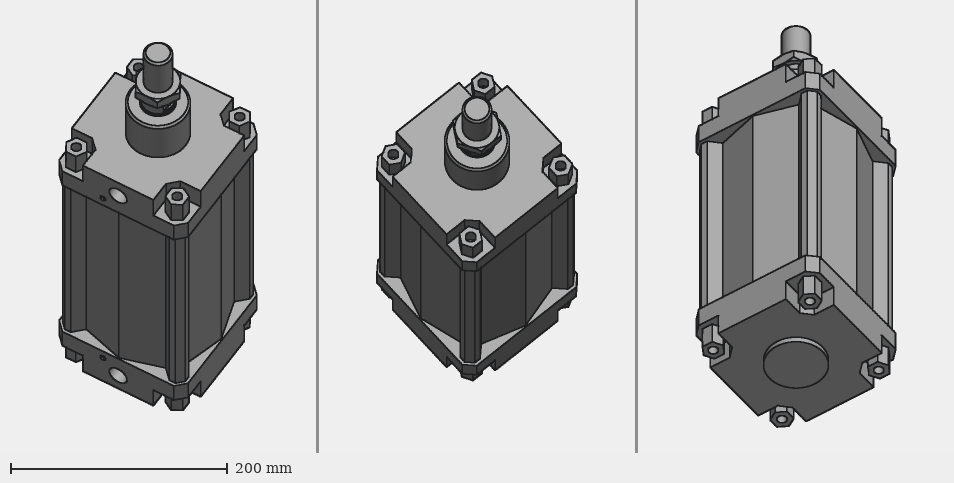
import cadquery as cq
import math

TOTAL_HEIGHT = 435.0

CAP_WIDTH = 140.0
CAP_HEIGHT = 45.0
CAP_CORNER_CHAMFER = 9.5
BOSS_RADIUS = 30.0
REAR_BOSS_HEIGHT = 6.0
FRONT_BOSS_HEIGHT = 45.2
BOSS_CHAMFER = 2.0
REAR_FACE_Z = REAR_BOSS_HEIGHT
FRONT_FACE_Z = 316.0
BOSS_TOP_Z = FRONT_FACE_Z + FRONT_BOSS_HEIGHT

RECESS_WIDTH = 31.8
RECESS_CHAMFER = 9.5
RECESS_DEPTH = 23.5
BOLT_OFFSET = 55.0
BOLT_ACROSS_FLATS = 19.0
BOLT_HOLE_RADIUS = 5.0
BOLT_HOLE_DEPTH = 17.5
DRILL_TIP_ANGLE = 118.0

PORT_RADIUS = 9.5
PORT_DEPTH = 26.0
PORT_INSET = 19.5
SCREW_HOLE_RADIUS = 3.0
SCREW_HOLE_DEPTH = 2.0
SCREW_HOLE_X = -16.5
SCREW_HOLE_INSET = 35.0

POST_HALF_WIDTH = 66.5
POST_CORNER_CHAMFER = 6.5
POST_INNER_EDGE = 53.5
WALL_EDGE = 43.0
WALL_RIDGE = 68.7

COLLAR_RADIUS = 17.0
COLLAR_HEIGHT = 2.5
COLLAR_TOP_Z = BOSS_TOP_Z + COLLAR_HEIGHT

ROD_RADIUS = 16.0
THREAD_RADIUS = 13.5
THREAD_CHAMFER = 2.0
ROD_FLAT_BOTTOM_Z = 366.5
ROD_ACROSS_FLATS = 27.0
ROD_TURN = 8.0

NUT_BOTTOM_Z = 380.0
NUT_THICKNESS = 11.7
NUT_ACROSS_FLATS = 41.0
NUT_CHAMFER_ANGLE = 30.0


def hexagon_diameter(across_flats):
    """Corner-to-corner diameter of a regular hexagon."""
    return across_flats / math.cos(math.pi / 6)


def barrel():
    """Prism between the caps, its outline one side repeated four times."""
    wall_depth = POST_HALF_WIDTH - (POST_INNER_EDGE - WALL_EDGE)
    post_edge = POST_HALF_WIDTH - POST_CORNER_CHAMFER
    side = [
        (-post_edge, -POST_HALF_WIDTH),
        (-POST_INNER_EDGE, -POST_HALF_WIDTH),
        (-WALL_EDGE, -wall_depth),
        (0, -WALL_RIDGE),
        (WALL_EDGE, -wall_depth),
        (POST_INNER_EDGE, -POST_HALF_WIDTH),
        (post_edge, -POST_HALF_WIDTH),
    ]
    outline = list(side)
    for _ in range(3):
        side = [(-y, x) for x, y in side]
        outline += side
    bottom = REAR_FACE_Z + CAP_HEIGHT
    length = FRONT_FACE_Z - REAR_FACE_Z - 2 * CAP_HEIGHT
    return cq.Workplane("XY", origin=(0, 0, bottom)).polyline(outline).close().extrude(length)


def bolt():
    """Hexagonal bolt on the recess floor of the (-X, -Y) corner, drilled from its outer end at z = 0."""
    head = (
        cq.Workplane("XY", origin=(-BOLT_OFFSET, -BOLT_OFFSET, -RECESS_DEPTH))
        .polygon(6, hexagon_diameter(BOLT_ACROSS_FLATS))
        .extrude(RECESS_DEPTH)
    )
    tip_depth = BOLT_HOLE_RADIUS / math.tan(math.radians(DRILL_TIP_ANGLE / 2))
    hole = (
        cq.Workplane("XZ")
        .polyline([
            (0, 0),
            (BOLT_HOLE_RADIUS, 0),
            (BOLT_HOLE_RADIUS, -BOLT_HOLE_DEPTH),
            (0, -BOLT_HOLE_DEPTH - tip_depth),
        ])
        .close()
        .revolve(360, (0, 0), (0, 1))
        .translate((-BOLT_OFFSET, -BOLT_OFFSET, 0))
    )
    return head.cut(hole)


def corner_recess():
    """Square pocket with a chamfered inner corner, cut into the (-X, -Y) corner below z = 0."""
    center = RECESS_WIDTH / 2 - CAP_WIDTH / 2
    return (
        cq.Workplane("XY", origin=(center, center, -RECESS_DEPTH))
        .rect(RECESS_WIDTH, RECESS_WIDTH)
        .extrude(RECESS_DEPTH)
        .edges("|Z and >X and >Y")
        .chamfer(RECESS_CHAMFER)
    )


def side_hole(x, inset, radius, depth):
    """Round blind hole in the -Y side of a cap whose outer face is at z = 0."""
    return cq.Workplane("XZ", origin=(x, -CAP_WIDTH / 2, -inset)).circle(radius).extrude(-depth)


def end_cap():
    """Cap with its outer face up at z = 0, with ports, corner recesses and bolts."""
    cap = (
        cq.Workplane("XY", origin=(0, 0, -CAP_HEIGHT))
        .rect(CAP_WIDTH, CAP_WIDTH)
        .extrude(CAP_HEIGHT)
        .edges("|Z")
        .chamfer(CAP_CORNER_CHAMFER)
    )
    cap = cap.cut(side_hole(0, PORT_INSET, PORT_RADIUS, PORT_DEPTH))
    cap = cap.cut(side_hole(SCREW_HOLE_X, SCREW_HOLE_INSET, SCREW_HOLE_RADIUS, SCREW_HOLE_DEPTH))
    for quarter in range(4):
        angle = 90 * quarter
        cap = cap.cut(corner_recess().rotate((0, 0, 0), (0, 0, 1), angle))
        cap = cap.union(bolt().rotate((0, 0, 0), (0, 0, 1), angle))
    return cap


def make_housing():
    """Barrel, both end caps, their bosses and the wiper collar."""
    front_cap = end_cap().translate((0, 0, FRONT_FACE_Z))
    rear_cap = end_cap().mirror("XY").translate((0, 0, REAR_FACE_Z))
    front_boss = (
        cq.Workplane("XY", origin=(0, 0, FRONT_FACE_Z))
        .circle(BOSS_RADIUS)
        .extrude(FRONT_BOSS_HEIGHT)
        .faces(">Z")
        .chamfer(BOSS_CHAMFER)
    )
    rear_boss = cq.Workplane("XY").circle(BOSS_RADIUS).extrude(REAR_BOSS_HEIGHT)
    collar = (
        cq.Workplane("XY", origin=(0, 0, BOSS_TOP_Z))
        .circle(COLLAR_RADIUS)
        .extrude(COLLAR_HEIGHT)
        .faces(">Z")
        .chamfer(COLLAR_RADIUS - ROD_RADIUS)
    )
    return barrel().union(front_cap).union(rear_cap).union(front_boss).union(collar).union(rear_boss)


def make_rod():
    """Rod standing on the wiper collar: a shank with two wrench flats below a thread."""
    shank_length = NUT_BOTTOM_Z - COLLAR_TOP_Z
    shank = cq.Workplane("XY", origin=(0, 0, COLLAR_TOP_Z)).circle(ROD_RADIUS).extrude(shank_length)
    cutter_width = 3 * ROD_RADIUS
    flats = (
        cq.Workplane("XY", origin=(0, 0, ROD_FLAT_BOTTOM_Z))
        .rect(cutter_width, cutter_width)
        .rect(ROD_ACROSS_FLATS, cutter_width)
        .extrude(NUT_BOTTOM_Z - ROD_FLAT_BOTTOM_Z)
        .rotate((0, 0, 0), (0, 0, 1), -ROD_TURN)
    )
    thread = (
        cq.Workplane("XY", origin=(0, 0, NUT_BOTTOM_Z))
        .circle(THREAD_RADIUS)
        .extrude(TOTAL_HEIGHT - NUT_BOTTOM_Z)
        .faces(">Z")
        .chamfer(THREAD_CHAMFER)
    )
    return shank.cut(flats).union(thread)


def make_nut():
    """Hexagonal nut with corners along X, both faces chamfered by cones, bored for the thread."""
    corner_radius = hexagon_diameter(NUT_ACROSS_FLATS) / 2
    face_radius = NUT_ACROSS_FLATS / 2
    chamfer_height = (corner_radius - face_radius) * math.tan(math.radians(NUT_CHAMFER_ANGLE))
    envelope = (
        cq.Workplane("XZ")
        .polyline([
            (0, 0),
            (face_radius, 0),
            (corner_radius, chamfer_height),
            (corner_radius, NUT_THICKNESS - chamfer_height),
            (face_radius, NUT_THICKNESS),
            (0, NUT_THICKNESS),
        ])
        .close()
        .revolve(360, (0, 0), (0, 1))
    )
    prism = cq.Workplane("XY").polygon(6, 2 * corner_radius).extrude(NUT_THICKNESS)
    bore = cq.Workplane("XY").circle(THREAD_RADIUS).extrude(NUT_THICKNESS)
    return prism.intersect(envelope).cut(bore).translate((0, 0, NUT_BOTTOM_Z))


housing = make_housing()
rod = make_rod()
nut = make_nut()

result = cq.Compound.makeCompound([housing.val(), rod.val(), nut.val()])